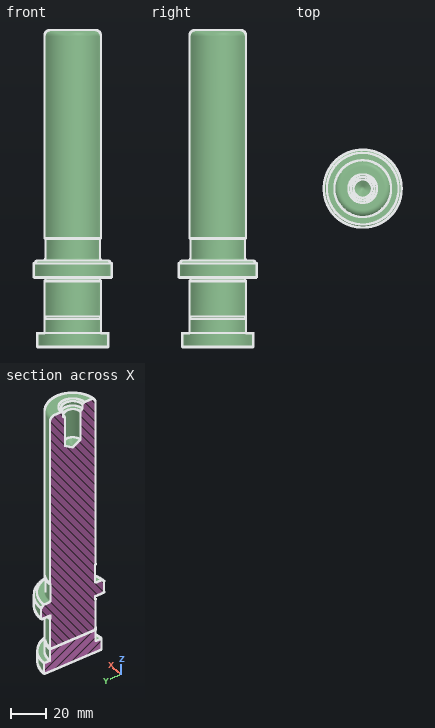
import cadquery as cq
import math

total_height = 179.0
shaft_radius = 32.0 / 2

cap_disc_radius = 40.1 / 2
cap_disc_height = 8.0
cap_collar_height = 8.0
cap_edge_chamfer = 0.5
cap_height = cap_disc_height + cap_collar_height

pin_end_chamfer_height = 1.3
relief_depth = 0.5
relief_radius = shaft_radius - relief_depth
undercut_height = 1.5
flange_radius = 44.0 / 2
flange_bottom = 39.2
flange_thickness = 9.8
flange_top = flange_bottom + flange_thickness
flange_top_chamfer = 1.8
flange_bottom_chamfer = 0.5
neck_fillet = 1.0
shaft_bottom = 61.2
top_fillet = 3.5

mouth_radius = 8.0
mouth_slope = math.radians(30)
counterbore_radius = 6.6
counterbore_depth = 4.0
bore_radius = 5.2
bore_depth = 25.0
drill_half_angle = math.radians(59)


def revolve_profile(profile):
    """Turn a closed profile in the XZ plane about the Z axis."""
    return profile.close().revolve(360, (0, 0, 0), (0, 1, 0))


def make_cap():
    profile = (
        cq.Workplane("XZ")
        .lineTo(cap_disc_radius - cap_edge_chamfer, 0)
        .lineTo(cap_disc_radius, cap_edge_chamfer)
        .lineTo(cap_disc_radius, cap_disc_height)
        .lineTo(shaft_radius, cap_disc_height)
        .lineTo(shaft_radius, cap_height)
        .lineTo(0, cap_height)
    )
    return revolve_profile(profile)


def make_pin_blank():
    spigot_top = flange_bottom - undercut_height
    profile = (
        cq.Workplane("XZ")
        .moveTo(0, cap_height)
        .lineTo(relief_radius, cap_height)
        .lineTo(shaft_radius, cap_height + pin_end_chamfer_height)
        .lineTo(shaft_radius, spigot_top - relief_depth)
        .lineTo(relief_radius, spigot_top)
        .lineTo(relief_radius, flange_bottom)
        .lineTo(flange_radius - flange_bottom_chamfer, flange_bottom)
        .lineTo(flange_radius, flange_bottom + flange_bottom_chamfer)
        .lineTo(flange_radius, flange_top - flange_top_chamfer)
        .lineTo(flange_radius - flange_top_chamfer, flange_top)
        .lineTo(relief_radius + neck_fillet, flange_top)
        .radiusArc((relief_radius, flange_top + neck_fillet), neck_fillet)
        .lineTo(relief_radius, shaft_bottom)
        .lineTo(shaft_radius, shaft_bottom + relief_depth)
        .lineTo(shaft_radius, total_height - top_fillet)
        .radiusArc((shaft_radius - top_fillet, total_height), -top_fillet)
        .lineTo(0, total_height)
    )
    return revolve_profile(profile)


def make_centre_hole():
    """Countersunk, counterbored hole ending in a drill point."""
    mouth_depth = (mouth_radius - counterbore_radius) * math.tan(mouth_slope)
    step_depth = counterbore_radius - bore_radius
    bore_bottom = total_height - bore_depth
    drill_tip = bore_bottom - bore_radius / math.tan(drill_half_angle)
    profile = (
        cq.Workplane("XZ")
        .moveTo(0, total_height)
        .lineTo(mouth_radius, total_height)
        .lineTo(counterbore_radius, total_height - mouth_depth)
        .lineTo(counterbore_radius, total_height - counterbore_depth)
        .lineTo(bore_radius, total_height - counterbore_depth - step_depth)
        .lineTo(bore_radius, bore_bottom)
        .lineTo(0, drill_tip)
    )
    return revolve_profile(profile)


cap = make_cap()
pin = make_pin_blank().cut(make_centre_hole())

result = cq.Compound.makeCompound([cap.val(), pin.val()])